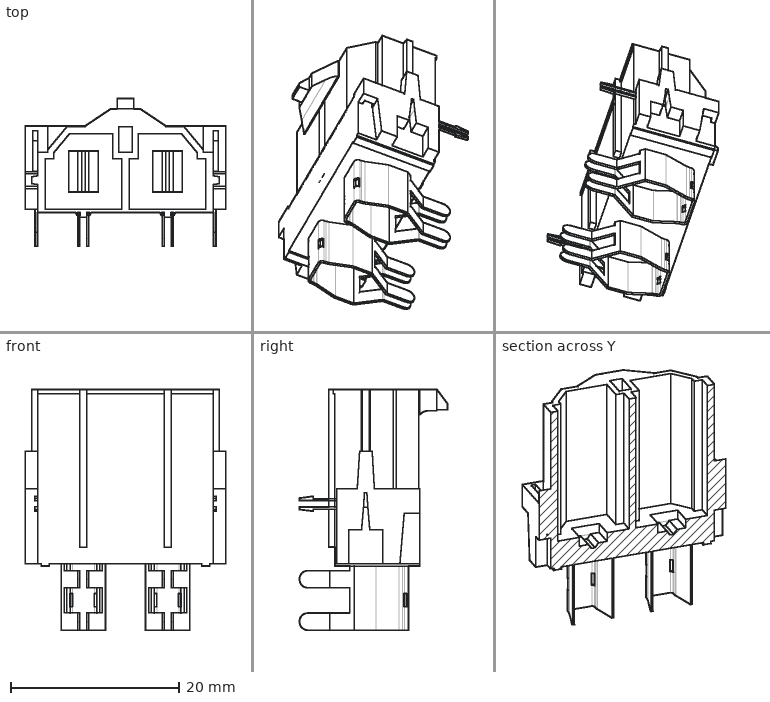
import cadquery as cq
import math


OVERALL_W = 23.82
TOP_Z = 28.6
HOUSING_BOTTOM_Z = 7.9
EAR_TOP_Z = 16.82
PIN_TIP_Y = -4.2

HOUSING_HALF_W = 10.45
BACK_Y = 10.1
UPPER_BACK_Y = 9.98
BODY_TOP_Z = 16.35
SHOULDER_X, SHOULDER_Y = 9.25, 6.95
SLOPE_START_Y = 7.26
SLOPE_END_X = 6.98
LIP_DEPTH = 0.2
LIP_HEIGHT = 0.51
FOOT_X = 9.52
FOOT_W = 1.0
FOOT_HEIGHT = 0.3

LATCH_BASE_HALF_W = 4.8
LATCH_BACK_HALF_W = 1.77
LATCH_BACK_Y = 12.13
LATCH_BOTTOM_Z = 26.05
LATCH_ROOT_Z = 25.6
LATCH_CURVE_Y = 11.1
LATCH_OVERLAP = 0.3
TAB_HALF_W = 1.0
TAB_TIP_Y = 13.38
TAB_TIP_Z = 26.9
TAB_BOTTOM_Z = 26.17

CONTACT_X = 5.0
RIB_W = 0.83
RIB_DEPTH = 0.75
RIB_BOTTOM_Z = 9.87

FLOOR_Z = 11.45
POCKET_FRONT_Y = 0.23
POCKET_STEP_Y = 6.2
POCKET_BACK_Y = 9.15
POCKET_INNER_X = 0.45
POCKET_OUTER_X = 9.52
POCKET_BACK_INNER_X = 1.5
POCKET_BACK_OUTER_X = 8.5
POCKET_SLOPE_X = 6.65
KEY_HALF_W = 0.77

SEAT_HALF_W = 1.75
SEAT_FRONT_Y, SEAT_BACK_Y = 2.2, 7.18
SEAT_DEPTH = 1.15
SEAT_END_DRAFT = 0.05
GROOVE_HALF_W = 0.65
GROOVE_BOTTOM_HALF_W = 0.215
GROOVE_DEPTH = 0.57

EAR_OUTER_X = OVERALL_W / 2
EAR_FRONT_Y = 0.2
TOWER_Z = 21.28
TOWER_BASE_Y = (2.65, 4.7)
TOWER_TIP_Y = (2.95, 4.43)
EAR_MID_Y = 3.65
REAR_CUT_Z = 13.87
REAR_CUT_TOP_Y, REAR_CUT_BOTTOM_Y = 8.25, 7.72
ARCH_Y = (1.63, 5.65)
ARCH_TOP_Z = 11.93
SLIT_BOTTOM_HALF_W = 0.5
SLIT_STEP_Z, SLIT_STEP_HALF_W = 14.61, 0.25
SLIT_TOP_Z, SLIT_TOP_HALF_W = 16.3, 0.15
SLIT_UPPER_DEPTH = 1.3
GUIDE_ROOT_HALF_W, GUIDE_NOSE_HALF_W = 0.51, 0.4
GUIDE_OUTER_X = 11.15

SLOT_W = 0.55
SLOT_Y = (4.72, 9.52)
CLIP_THICKNESS = 0.31
CLIP_BACK_Y = 8.35
CLIP_TOP_Z = 15.73
BARB_START_Y = -2.55
UPPER_PRONG = (15.4, 15.62, 15.93, 15.7)
LOWER_PRONG = (14.65, 14.35, 14.13, 14.33)

SHEET = 0.25
CONTACT_BACK_Y = 8.75
CORNER_RADIUS = 0.51
BACK_HALF_W = 1.83
BEND_BACK_Y, BEND_FRONT_Y = 8.0, 7.6
BEND_FRONT_HALF_W = 1.9
BEND_RADIUS = 1.43
CONTACT_HALF_W = 2.63
SIDE_BACK_Y, SIDE_FRONT_Y = 4.83, 2.3
TAIL_HALF_W = 0.65
TAIL_ROOT_Y = -0.63
ARM_ROOT_Y = 1.75
ARM_HEIGHT = 2.05
ARM_BOTTOMS = (0.0, 5.03)
TAIL_END_RADIUS = 1.0
CONTACT_EMBED = 1.15
RELIEF_Z = (2.8, 4.35)


def box(x0, x1, y0, y1, z0, z1):
    return cq.Workplane("XY").box(x1 - x0, y1 - y0, z1 - z0, centered=False).translate((x0, y0, z0))


def plan_prism(points, z0, z1):
    """Extrude an XY outline from z0 to z1."""
    return cq.Workplane("XY").workplane(offset=z0).polyline(points).close().extrude(z1 - z0)


def side_prism(points, x0, x1):
    """Extrude a YZ outline from x0 to x1."""
    return cq.Workplane("YZ").workplane(offset=x0).polyline(points).close().extrude(x1 - x0)


def mirrored(points):
    """Complete a right-hand half outline with its mirror image across X = 0."""
    return points + [(-x, y) for x, y in reversed(points)]


def housing():
    shroud_half = [
        (HOUSING_HALF_W, 0),
        (HOUSING_HALF_W, SHOULDER_Y),
        (SHOULDER_X, SHOULDER_Y),
        (SHOULDER_X, SLOPE_START_Y),
        (SLOPE_END_X, UPPER_BACK_Y),
    ]
    body = plan_prism(mirrored(shroud_half), HOUSING_BOTTOM_Z, TOP_Z)
    body = body.union(box(-HOUSING_HALF_W, HOUSING_HALF_W, 0, BACK_Y, HOUSING_BOTTOM_Z, BODY_TOP_Z))
    body = body.union(box(-HOUSING_HALF_W, HOUSING_HALF_W, -LIP_DEPTH, 0, TOP_Z - LIP_HEIGHT, TOP_Z))
    for side in (-1, 1):
        rib_x = side * CONTACT_X
        foot_x = side * FOOT_X
        body = body.union(
            box(rib_x - RIB_W / 2, rib_x + RIB_W / 2, -RIB_DEPTH, 0, RIB_BOTTOM_Z, TOP_Z)
        )
        body = body.union(
            box(foot_x - FOOT_W / 2, foot_x + FOOT_W / 2, 0, BACK_Y,
                HOUSING_BOTTOM_Z - FOOT_HEIGHT, HOUSING_BOTTOM_Z)
        )
    return body


def latch():
    """Overhanging latch: tapered in plan, with a curved root underneath and a ramped tab."""
    inner_y = UPPER_BACK_Y - LATCH_OVERLAP
    plan_half = [
        (LATCH_BASE_HALF_W, inner_y),
        (LATCH_BASE_HALF_W, BACK_Y),
        (LATCH_BACK_HALF_W, LATCH_BACK_Y),
    ]
    tapered = plan_prism(mirrored(plan_half), LATCH_ROOT_Z, TOP_Z)
    run = LATCH_CURVE_Y - BACK_Y
    rise = LATCH_BOTTOM_Z - LATCH_ROOT_Z
    radius = (run**2 + rise**2) / (2 * rise)
    half_angle = math.atan2(rise, run)
    mid = (LATCH_CURVE_Y - radius * math.sin(half_angle),
           LATCH_BOTTOM_Z - radius * (1 - math.cos(half_angle)))
    side_profile = (
        cq.Workplane("YZ")
        .workplane(offset=-LATCH_BASE_HALF_W)
        .moveTo(LATCH_BACK_Y, TOP_Z)
        .lineTo(LATCH_BACK_Y, LATCH_BOTTOM_Z)
        .lineTo(LATCH_CURVE_Y, LATCH_BOTTOM_Z)
        .threePointArc(mid, (BACK_Y, LATCH_ROOT_Z))
        .lineTo(inner_y, LATCH_ROOT_Z)
        .lineTo(inner_y, TOP_Z)
        .close()
        .extrude(2 * LATCH_BASE_HALF_W)
    )
    tab = side_prism(
        [
            (LATCH_BACK_Y, TOP_Z),
            (TAB_TIP_Y, TAB_TIP_Z),
            (TAB_TIP_Y, TAB_BOTTOM_Z),
            (LATCH_BACK_Y, TAB_BOTTOM_Z),
        ],
        -TAB_HALF_W, TAB_HALF_W,
    )
    return tapered.intersect(side_profile).union(tab)


def pocket():
    """Left-hand mating pocket, open at the top."""
    outline = [
        (-POCKET_INNER_X, POCKET_FRONT_Y),
        (-POCKET_INNER_X, POCKET_STEP_Y),
        (-POCKET_BACK_INNER_X, POCKET_STEP_Y),
        (-POCKET_BACK_INNER_X, POCKET_BACK_Y),
        (-POCKET_SLOPE_X, POCKET_BACK_Y),
        (-POCKET_BACK_OUTER_X, SHOULDER_Y),
        (-POCKET_BACK_OUTER_X, POCKET_STEP_Y),
        (-POCKET_OUTER_X, POCKET_STEP_Y),
        (-POCKET_OUTER_X, POCKET_FRONT_Y),
    ]
    return plan_prism(outline, FLOOR_Z, TOP_Z)


def seat(x):
    """Recess in the pocket floor with drafted ends and a flat-bottomed V groove along Y."""
    bottom_z = FLOOR_Z - SEAT_DEPTH
    recess = side_prism(
        [
            (SEAT_FRONT_Y, FLOOR_Z),
            (SEAT_FRONT_Y + SEAT_END_DRAFT, bottom_z),
            (SEAT_BACK_Y - SEAT_END_DRAFT, bottom_z),
            (SEAT_BACK_Y, FLOOR_Z),
        ],
        -SEAT_HALF_W, SEAT_HALF_W,
    )
    groove_half = [
        (GROOVE_HALF_W, bottom_z),
        (GROOVE_BOTTOM_HALF_W, bottom_z - GROOVE_DEPTH),
    ]
    groove_length = SEAT_BACK_Y - SEAT_FRONT_Y - 2 * SEAT_END_DRAFT
    groove = cq.Workplane("XZ").polyline(mirrored(groove_half)).close().extrude(-groove_length)
    groove = groove.translate((0, SEAT_FRONT_Y + SEAT_END_DRAFT, 0))
    return recess.union(groove).translate((x, 0, 0))


def ear():
    """Left-hand ear with its tower, tapered side guide, cut-outs and clip slot."""
    outline = [
        (EAR_FRONT_Y, HOUSING_BOTTOM_Z),
        (EAR_FRONT_Y, EAR_TOP_Z),
        (TOWER_BASE_Y[0], EAR_TOP_Z),
        (TOWER_TIP_Y[0], TOWER_Z),
        (TOWER_TIP_Y[1], TOWER_Z),
        (TOWER_BASE_Y[1], EAR_TOP_Z),
        (BACK_Y, EAR_TOP_Z),
        (BACK_Y, REAR_CUT_Z),
        (REAR_CUT_TOP_Y, REAR_CUT_Z),
        (REAR_CUT_BOTTOM_Y, HOUSING_BOTTOM_Z),
    ]
    body = side_prism(outline, -EAR_OUTER_X, -HOUSING_HALF_W)
    body = body.union(
        box(-HOUSING_HALF_W, -SHOULDER_X, SHOULDER_Y, BACK_Y, BODY_TOP_Z, EAR_TOP_Z)
    )
    arch = box(-EAR_OUTER_X, -HOUSING_HALF_W, ARCH_Y[0], ARCH_Y[1], HOUSING_BOTTOM_Z, ARCH_TOP_Z)
    slit = side_prism(
        [
            (EAR_MID_Y - SLIT_BOTTOM_HALF_W, ARCH_TOP_Z),
            (EAR_MID_Y - SLIT_STEP_HALF_W, SLIT_STEP_Z),
            (EAR_MID_Y + SLIT_STEP_HALF_W, SLIT_STEP_Z),
            (EAR_MID_Y + SLIT_BOTTOM_HALF_W, ARCH_TOP_Z),
        ],
        -EAR_OUTER_X, -HOUSING_HALF_W,
    )
    slit_tip = side_prism(
        [
            (EAR_MID_Y - SLIT_STEP_HALF_W, SLIT_STEP_Z),
            (EAR_MID_Y - SLIT_TOP_HALF_W, SLIT_TOP_Z),
            (EAR_MID_Y + SLIT_TOP_HALF_W, SLIT_TOP_Z),
            (EAR_MID_Y + SLIT_STEP_HALF_W, SLIT_STEP_Z),
        ],
        -EAR_OUTER_X, -EAR_OUTER_X + SLIT_UPPER_DEPTH,
    )
    slot_outer_x = -HOUSING_HALF_W - SLOT_W
    through_slot = box(slot_outer_x, -HOUSING_HALF_W, CLIP_BACK_Y, SLOT_Y[1], HOUSING_BOTTOM_Z, EAR_TOP_Z)
    shallow_slot = box(slot_outer_x, -HOUSING_HALF_W, SLOT_Y[0], CLIP_BACK_Y, CLIP_TOP_Z, EAR_TOP_Z)
    body = body.cut(arch).cut(slit).cut(slit_tip).cut(through_slot).cut(shallow_slot)
    guide = plan_prism(
        [
            (-HOUSING_HALF_W, EAR_MID_Y - GUIDE_ROOT_HALF_W),
            (-GUIDE_OUTER_X, EAR_MID_Y - GUIDE_NOSE_HALF_W),
            (-GUIDE_OUTER_X, EAR_MID_Y + GUIDE_NOSE_HALF_W),
            (-HOUSING_HALF_W, EAR_MID_Y + GUIDE_ROOT_HALF_W),
        ],
        EAR_TOP_Z, TOP_Z,
    )
    return body.union(guide)


def prongs():
    """Pair of barbed clip prongs reaching out of the front of the left-hand ear."""
    pair = cq.Workplane("XY")
    for inner_z, outer_z, crest_z, tip_z in (UPPER_PRONG, LOWER_PRONG):
        outline = [
            (EAR_FRONT_Y, inner_z),
            (EAR_FRONT_Y, outer_z),
            (BARB_START_Y, outer_z),
            (BARB_START_Y, crest_z),
            (PIN_TIP_Y, tip_z),
            (PIN_TIP_Y, inner_z),
        ]
        pair = pair.union(side_prism(outline, -HOUSING_HALF_W - CLIP_THICKNESS, -HOUSING_HALF_W))
    return pair


def contact_plan(tip_y):
    """Closed plan outline of a contact whose tails end at tip_y."""
    corner_y = CONTACT_BACK_Y - CORNER_RADIUS
    corner_x = BACK_HALF_W - CORNER_RADIUS
    return (
        cq.Workplane("XY")
        .moveTo(TAIL_HALF_W, tip_y)
        .lineTo(TAIL_HALF_W, TAIL_ROOT_Y)
        .lineTo(CONTACT_HALF_W, SIDE_FRONT_Y)
        .lineTo(CONTACT_HALF_W, SIDE_BACK_Y)
        .lineTo(BEND_FRONT_HALF_W, BEND_FRONT_Y)
        .radiusArc((BACK_HALF_W, BEND_BACK_Y), -BEND_RADIUS)
        .lineTo(BACK_HALF_W, corner_y)
        .radiusArc((corner_x, CONTACT_BACK_Y), -CORNER_RADIUS)
        .lineTo(-corner_x, CONTACT_BACK_Y)
        .radiusArc((-BACK_HALF_W, corner_y), -CORNER_RADIUS)
        .lineTo(-BACK_HALF_W, BEND_BACK_Y)
        .radiusArc((-BEND_FRONT_HALF_W, BEND_FRONT_Y), -BEND_RADIUS)
        .lineTo(-CONTACT_HALF_W, SIDE_BACK_Y)
        .lineTo(-CONTACT_HALF_W, SIDE_FRONT_Y)
        .lineTo(-TAIL_HALF_W, TAIL_ROOT_Y)
        .lineTo(-TAIL_HALF_W, tip_y)
        .close()
    )


def contact(x):
    """Folded sheet contact: a shell open to the front with two pairs of round-ended tails."""
    height = HOUSING_BOTTOM_Z + CONTACT_EMBED
    cavity = contact_plan(PIN_TIP_Y - 2 * SHEET).offset2D(-SHEET).extrude(height)
    shell = contact_plan(PIN_TIP_Y).extrude(height).cut(cavity)
    side_shape = box(-CONTACT_HALF_W, CONTACT_HALF_W, ARM_ROOT_Y, CONTACT_BACK_Y, 0, height)
    for bottom_z in ARM_BOTTOMS:
        arm = box(-CONTACT_HALF_W, CONTACT_HALF_W, PIN_TIP_Y, ARM_ROOT_Y, bottom_z, bottom_z + ARM_HEIGHT)
        arm = arm.edges("|X and <Y").fillet(TAIL_END_RADIUS)
        side_shape = side_shape.union(arm)
    shell = shell.intersect(side_shape)
    corner_x = BACK_HALF_W - CORNER_RADIUS
    relief = box(corner_x, BACK_HALF_W, CONTACT_BACK_Y - CORNER_RADIUS, CONTACT_BACK_Y, *RELIEF_Z)
    shell = shell.cut(relief).cut(relief.mirror("YZ"))
    return shell.translate((x, 0, 0))


result = housing().union(latch())
for left_part in (ear(), prongs()):
    result = result.union(left_part).union(left_part.mirror("YZ"))
result = result.cut(pocket()).cut(pocket().mirror("YZ"))
result = result.cut(box(-KEY_HALF_W, KEY_HALF_W, SHOULDER_Y, UPPER_BACK_Y, FLOOR_Z, TOP_Z))
for contact_x in (-CONTACT_X, CONTACT_X):
    result = result.cut(seat(contact_x)).union(contact(contact_x))